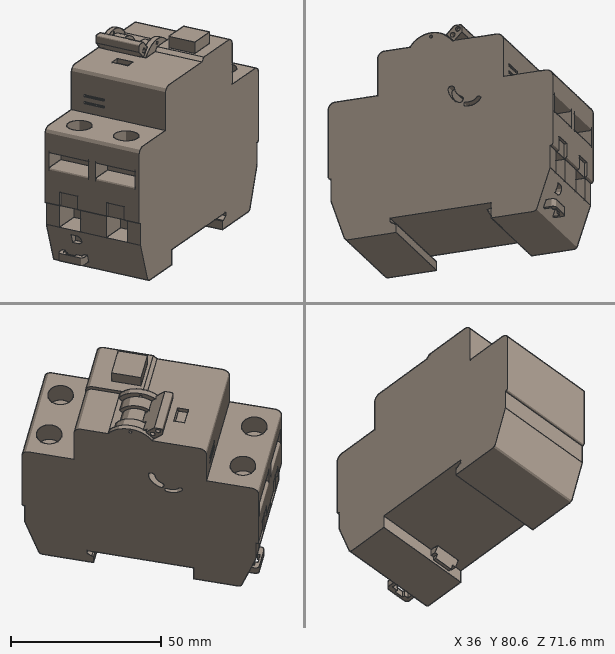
import cadquery as cq
import math

WIDTH = 36.0
LENGTH = 80.6
HALF_WIDTH = WIDTH / 2
HALF_LENGTH = LENGTH / 2
SHOULDER_Z = 50.2
DECK_Z = 65.85
CENTRE_HALF_LENGTH = 22.6
EDGE_RADIUS = 2.5
STEP_Z = 22.8
STEP_DEPTH = 1.0
STEP_RADIUS = 0.9
LOWER_HALF_LENGTH = HALF_LENGTH - STEP_DEPTH
TAPER_Z = 14.9
FOOT_HALF_LENGTH = 34.25
FOOT_RADIUS = 1.5

RAIL_Z = 5.5
RAIL_HALF_LENGTH = 18.1
HOOK_TIP_Y = 15.9
HOOK_LEDGE = 0.65
HOOK_LEDGE_Z = 3.15
HOOK_ROOT_Z = 4.3

MODULE_SPLIT_X = 0.2
RAISED_DECK_Z = 67.1
RAISED_DECK_FRONT_Y = 2.1
BUTTON_SIZE = 10.0
BUTTON_X = 8.95
BUTTON_Y = 9.5
BUTTON_TOP_Z = 71.25

POLE_X = 8.95
SCREW_HOLE_DIAMETER = 8.5
SCREW_HOLE_Y = 33.0
SCREW_HOLE_DEPTH = 7.25
WINDOW_WIDTH = 15.1
WINDOW_BOTTOM_Z = 35.1
WINDOW_TOP_Z = 42.15
WINDOW_DEPTH = 8.1
WINDOW_LIP_RADIUS = 1.0
NOTCH_WIDTH = 6.8
NOTCH_TOP_Z = 28.05
WIRE_SLOT_WIDTH = 8.1
WIRE_SLOT_DEPTH = 9.7

VENT_X = -9.2
VENT_LENGTH = 7.8
VENT_HEIGHT = 0.7
VENT_HEIGHTS_Z = (53.8, 56.25)
VENT_DEPTH = 0.8
EYE_LEFT_X = -8.95
EYE_RIGHT_X = -5.2
EYE_Z = 11.2
EYE_RADIUS = 1.6
EYE_FLOOR_Y = -35.5
FLAG_X = -4.9
FLAG_Y = -11.05
FLAG_WIDTH = 6.0
FLAG_LENGTH = 3.7
FLAG_DEPTH = 1.5
FLAG_BACK_LEAN = 0.3
SIDE_SLOT_DEPTH = 3.2
SIDE_SLOTS = (
    dict(centre_y=-9.3, centre_z=49.3, radius=5.5, start_deg=-65, end_deg=-9, width=2.25),
    dict(centre_y=-10.2, centre_z=46.75, radius=4.5, start_deg=-139, end_deg=-75, width=1.45),
)

PIVOT_Y = 3.4
PIVOT_Z = 60.8
CHEEK_RADIUS = 9.1
CHEEK_INNER_X = (-16.4, -1.8)
HUB_RADIUS = 7.3
HUB_WAIST_RADIUS = 6.0
HUB_WAIST_X = (-11.85, -5.9)
PIN_HOLE_DIAMETER = 1.0
PIN_HOLE_Z = 68.5
LEVER_HALF_THICKNESS = 1.9
LEVER_TIP_Y = -7.3
LEVER_TIP_Z = 71.6
LEVER_TIP_RADIUS = 0.65
LEVER_INNER_REACH = 9.2
LEVER_GRIP_X = (-17.2, -0.65)
LEVER_NECK_X = (-15.8, -2.0)
LEVER_ROOT_X = (-11.45, -6.45)
LEVER_HOLE_DIAMETER = 1.6
LEVER_THROUGH_HOLE = (-4.0, 68.35)
LEVER_BLIND_HOLE = (-5.9, 70.2)
LEVER_BLIND_DEPTH = 1.2

CLIP_X = (-13.7, -4.1)
CLIP_BOTTOM_Z = 2.75
CLIP_CORNER_RADIUS = 1.2
CLIP_OPENING_X = (-12.5, -5.3)
CLIP_OPENING_Y = -37.55
CLIP_NOTCH_X = (-11.0, -7.5)
CLIP_NOTCH_Y = -38.5
CLIP_NOSE_Y = -15.0
CLIP_NOSE_DROP = 0.4
CLIP_NOSE_RUN = 1.45
CLIP_TOOTH_Y = -17.1
CLIP_TOOTH_BOTTOM_Z = 1.4
CLIP_TOOTH_X = (-12.4, -5.2)

EDGE_SEARCH = 0.1


def box(x_range, y_range, z_range):
    """Axis-aligned block between the given limits."""
    size = [high - low for low, high in (x_range, y_range, z_range)]
    low_corner = (x_range[0], y_range[0], z_range[0])
    return cq.Workplane("XY").box(*size, centered=False).translate(low_corner)


def prism_x(outline, x_range):
    """Extrude a (Y, Z) outline between two X limits."""
    plane = cq.Workplane("YZ", origin=(x_range[0], 0, 0))
    return plane.polyline(outline).close().extrude(x_range[1] - x_range[0])


def rod_x(y, z, radius, x_range):
    """Cylinder lying along X."""
    plane = cq.Workplane("YZ", origin=(x_range[0], 0, 0))
    return plane.center(y, z).circle(radius).extrude(x_range[1] - x_range[0])


def edges_at(body, y, z):
    """Edges along X through the point (y, z)."""
    low = (-WIDTH, y - EDGE_SEARCH, z - EDGE_SEARCH)
    high = (WIDTH, y + EDGE_SEARCH, z + EDGE_SEARCH)
    return body.edges("|X").edges(cq.selectors.BoxSelector(low, high))


def make_housing():
    outline = [
        (-FOOT_HALF_LENGTH, 0),
        (-RAIL_HALF_LENGTH, 0),
        (-RAIL_HALF_LENGTH, RAIL_Z),
        (RAIL_HALF_LENGTH, RAIL_Z),
        (RAIL_HALF_LENGTH, HOOK_ROOT_Z),
        (HOOK_TIP_Y + HOOK_LEDGE, HOOK_LEDGE_Z),
        (HOOK_TIP_Y, HOOK_LEDGE_Z),
        (HOOK_TIP_Y, 0),
        (FOOT_HALF_LENGTH, 0),
        (LOWER_HALF_LENGTH, TAPER_Z),
        (LOWER_HALF_LENGTH, STEP_Z),
        (HALF_LENGTH, STEP_Z),
        (HALF_LENGTH, SHOULDER_Z),
        (CENTRE_HALF_LENGTH, SHOULDER_Z),
        (CENTRE_HALF_LENGTH, DECK_Z),
        (-CENTRE_HALF_LENGTH, DECK_Z),
        (-CENTRE_HALF_LENGTH, SHOULDER_Z),
        (-HALF_LENGTH, SHOULDER_Z),
        (-HALF_LENGTH, STEP_Z),
        (-LOWER_HALF_LENGTH, STEP_Z),
        (-LOWER_HALF_LENGTH, TAPER_Z),
    ]
    body = prism_x(outline, (-HALF_WIDTH, HALF_WIDTH))
    for side in (-1, 1):
        body = edges_at(body, side * HALF_LENGTH, SHOULDER_Z).fillet(EDGE_RADIUS)
        body = edges_at(body, side * CENTRE_HALF_LENGTH, DECK_Z).fillet(EDGE_RADIUS)
        body = edges_at(body, side * HALF_LENGTH, STEP_Z).fillet(STEP_RADIUS)
        body = edges_at(body, side * FOOT_HALF_LENGTH, 0).fillet(FOOT_RADIUS)
    return body


def make_raised_deck():
    """Raised plate with a bevelled front edge, carrying the square button."""
    rise = RAISED_DECK_Z - DECK_Z
    base_z = DECK_Z - EDGE_RADIUS
    outline = [
        (RAISED_DECK_FRONT_Y, base_z),
        (RAISED_DECK_FRONT_Y, DECK_Z),
        (RAISED_DECK_FRONT_Y + rise, RAISED_DECK_Z),
        (CENTRE_HALF_LENGTH, RAISED_DECK_Z),
        (CENTRE_HALF_LENGTH, base_z),
    ]
    deck = prism_x(outline, (MODULE_SPLIT_X, HALF_WIDTH))
    deck = edges_at(deck, CENTRE_HALF_LENGTH, RAISED_DECK_Z).fillet(EDGE_RADIUS)
    half = BUTTON_SIZE / 2
    button = box(
        (BUTTON_X - half, BUTTON_X + half),
        (BUTTON_Y - half, BUTTON_Y + half),
        (DECK_Z, BUTTON_TOP_Z),
    )
    return deck.union(button)


def cut_terminals(body):
    for pole_x in (-POLE_X, POLE_X):
        for y in (-SCREW_HOLE_Y, SCREW_HOLE_Y):
            floor = cq.Workplane("XY", origin=(pole_x, y, SHOULDER_Z - SCREW_HOLE_DEPTH))
            body = body.cut(floor.circle(SCREW_HOLE_DIAMETER / 2).extrude(SCREW_HOLE_DEPTH))
        body = body.cut(terminal_window(pole_x))
        body = body.cut(wire_entry(pole_x))
    return body


def terminal_window(pole_x):
    """Rectangular opening whose upper and lower lips are rounded outward."""
    lip = WINDOW_LIP_RADIUS
    bend = lip * (1 - math.sqrt(0.5))
    lip_y = -HALF_LENGTH + lip
    floor_z = WINDOW_BOTTOM_Z + lip
    ceiling_z = WINDOW_TOP_Z - lip
    profile = (
        cq.Workplane("YZ", origin=(pole_x - WINDOW_WIDTH / 2, 0, 0))
        .moveTo(-HALF_LENGTH, WINDOW_BOTTOM_Z)
        .threePointArc((-HALF_LENGTH + bend, floor_z - bend), (lip_y, floor_z))
        .lineTo(-HALF_LENGTH + WINDOW_DEPTH, floor_z)
        .lineTo(-HALF_LENGTH + WINDOW_DEPTH, ceiling_z)
        .lineTo(lip_y, ceiling_z)
        .threePointArc((-HALF_LENGTH + bend, ceiling_z + bend), (-HALF_LENGTH, WINDOW_TOP_Z))
        .close()
    )
    return profile.extrude(WINDOW_WIDTH)


def wire_entry(pole_x):
    """Deep slot below the step and the shallow notch above it."""
    half_slot = WIRE_SLOT_WIDTH / 2
    half_notch = NOTCH_WIDTH / 2
    slot = box(
        (pole_x - half_slot, pole_x + half_slot),
        (-LOWER_HALF_LENGTH, -LOWER_HALF_LENGTH + WIRE_SLOT_DEPTH),
        (TAPER_Z, STEP_Z),
    )
    notch = box(
        (pole_x - half_notch, pole_x + half_notch),
        (-HALF_LENGTH, -LOWER_HALF_LENGTH),
        (STEP_Z, NOTCH_TOP_Z),
    )
    return slot.union(notch)


def cut_front_recesses(body):
    for vent_z in VENT_HEIGHTS_Z:
        plane = cq.Workplane("XZ", origin=(VENT_X, -CENTRE_HALF_LENGTH, vent_z))
        body = body.cut(plane.slot2D(VENT_LENGTH, VENT_HEIGHT).extrude(-VENT_DEPTH))
    arc_x = EYE_RIGHT_X - EYE_RADIUS
    eye = (
        cq.Workplane("XZ", origin=(0, EYE_FLOOR_Y, 0))
        .moveTo(EYE_LEFT_X, EYE_Z - EYE_RADIUS)
        .lineTo(arc_x, EYE_Z - EYE_RADIUS)
        .threePointArc((EYE_RIGHT_X, EYE_Z), (arc_x, EYE_Z + EYE_RADIUS))
        .lineTo(EYE_LEFT_X, EYE_Z + EYE_RADIUS)
        .close()
        .extrude(HALF_LENGTH + EYE_FLOOR_Y)
    )
    return body.cut(eye)


def cut_flag_recess(body):
    back_y = FLAG_Y + FLAG_LENGTH / 2
    front_y = FLAG_Y - FLAG_LENGTH / 2
    outline = [
        (front_y, DECK_Z),
        (front_y, DECK_Z - FLAG_DEPTH),
        (back_y - FLAG_BACK_LEAN, DECK_Z - FLAG_DEPTH),
        (back_y, DECK_Z),
    ]
    flag = prism_x(outline, (FLAG_X - FLAG_WIDTH / 2, FLAG_X + FLAG_WIDTH / 2))
    return body.cut(flag)


def arc_slot(centre_y, centre_z, radius, start_deg, end_deg, width):
    """Round-ended curved slot sunk into the -X side."""

    def point(distance, angle_deg):
        angle = math.radians(angle_deg)
        return centre_y + distance * math.cos(angle), centre_z + distance * math.sin(angle)

    inner = radius - width / 2
    outer = radius + width / 2
    mid_deg = (start_deg + end_deg) / 2
    band = (
        cq.Workplane("YZ", origin=(-HALF_WIDTH, 0, 0))
        .moveTo(*point(inner, start_deg))
        .threePointArc(point(inner, mid_deg), point(inner, end_deg))
        .lineTo(*point(outer, end_deg))
        .threePointArc(point(outer, mid_deg), point(outer, start_deg))
        .close()
        .extrude(SIDE_SLOT_DEPTH)
    )
    depth_range = (-HALF_WIDTH, -HALF_WIDTH + SIDE_SLOT_DEPTH)
    for angle_deg in (start_deg, end_deg):
        band = band.union(rod_x(*point(radius, angle_deg), width / 2, depth_range))
    return band


def cut_side_slots(body):
    for slot in SIDE_SLOTS:
        body = body.cut(arc_slot(**slot))
    return body


def toggle_well():
    """Space between the cheeks, with a back wall sloping at 45 degrees."""
    drop = DECK_Z - PIVOT_Z
    half_chord = math.sqrt(CHEEK_RADIUS**2 - drop**2)
    rise = CHEEK_RADIUS - drop
    outline = [
        (PIVOT_Y + half_chord - drop, PIVOT_Z),
        (PIVOT_Y + half_chord + rise, DECK_Z + rise),
        (PIVOT_Y - half_chord, DECK_Z + rise),
        (PIVOT_Y - half_chord, DECK_Z),
    ]
    return prism_x(outline, CHEEK_INNER_X)


def lever_section(x_range, inner_reach):
    """Bar leaning 45 degrees toward -Y, its tip cut level on top and upright in front."""
    diagonal = math.sqrt(0.5)
    side = LEVER_HALF_THICKNESS * diagonal
    inner_y = PIVOT_Y - inner_reach * diagonal
    inner_z = LEVER_TIP_Z + LEVER_TIP_Y - inner_y
    outline = [
        (inner_y + side, inner_z + side),
        (LEVER_TIP_Y + 2 * side, LEVER_TIP_Z),
        (LEVER_TIP_Y, LEVER_TIP_Z),
        (LEVER_TIP_Y, LEVER_TIP_Z - 2 * side),
        (inner_y - side, inner_z - side),
    ]
    bar = prism_x(outline, x_range)
    return edges_at(bar, LEVER_TIP_Y, LEVER_TIP_Z).fillet(LEVER_TIP_RADIUS)


def make_toggle():
    hub = rod_x(PIVOT_Y, PIVOT_Z, HUB_RADIUS, CHEEK_INNER_X)
    hub = hub.cut(rod_x(PIVOT_Y, PIVOT_Z, HUB_RADIUS, HUB_WAIST_X))
    hub = hub.union(rod_x(PIVOT_Y, PIVOT_Z, HUB_WAIST_RADIUS, HUB_WAIST_X))
    lever = lever_section(LEVER_GRIP_X, LEVER_INNER_REACH)
    lever = lever.union(lever_section(LEVER_NECK_X, HUB_RADIUS))
    lever = lever.union(lever_section(LEVER_ROOT_X, HUB_WAIST_RADIUS - LEVER_HALF_THICKNESS))
    hole_radius = LEVER_HOLE_DIAMETER / 2
    blind_range = (LEVER_GRIP_X[0], LEVER_GRIP_X[0] + LEVER_BLIND_DEPTH)
    lever = lever.cut(rod_x(*LEVER_THROUGH_HOLE, hole_radius, LEVER_GRIP_X))
    lever = lever.cut(rod_x(*LEVER_BLIND_HOLE, hole_radius, blind_range))
    return hub.union(lever)


def add_toggle(body):
    cheek_range = (-HALF_WIDTH, MODULE_SPLIT_X)
    body = body.union(rod_x(PIVOT_Y, PIVOT_Z, CHEEK_RADIUS, cheek_range))
    body = body.cut(toggle_well())
    body = body.cut(rod_x(PIVOT_Y, PIN_HOLE_Z, PIN_HOLE_DIAMETER / 2, (-HALF_WIDTH, HALF_WIDTH)))
    return body.union(make_toggle())


def make_rail_clip():
    """Sliding catch: a pull tab at the front and a sloping nose inside the rail slot."""
    root_y = -RAIL_HALF_LENGTH
    z_range = (CLIP_BOTTOM_Z, RAIL_Z)
    bar = box(CLIP_X, (-LOWER_HALF_LENGTH, root_y), z_range)
    bar = bar.edges("|Z and <Y").fillet(CLIP_CORNER_RADIUS)
    bar = bar.cut(box(CLIP_OPENING_X, (CLIP_OPENING_Y, -FOOT_HALF_LENGTH), z_range))
    bar = bar.cut(box(CLIP_NOTCH_X, (CLIP_NOTCH_Y, CLIP_OPENING_Y), z_range))

    nose_end = [
        (root_y, RAIL_Z),
        (CLIP_NOSE_Y - CLIP_NOSE_RUN, RAIL_Z),
        (CLIP_NOSE_Y, RAIL_Z - CLIP_NOSE_DROP),
        (CLIP_TOOTH_Y, CLIP_TOOTH_BOTTOM_Z),
        (root_y, CLIP_TOOTH_BOTTOM_Z),
    ]
    tooth = prism_x(nose_end, CLIP_TOOTH_X)
    above_tooth = box(CLIP_X, (root_y, 0), z_range)
    nose = prism_x(nose_end, CLIP_X).intersect(above_tooth)
    return bar.union(nose).union(tooth)


housing = make_housing().union(make_raised_deck())
housing = cut_terminals(housing)
housing = cut_front_recesses(housing)
housing = cut_flag_recess(housing)
housing = cut_side_slots(housing)
housing = add_toggle(housing)
result = housing.union(make_rail_clip())